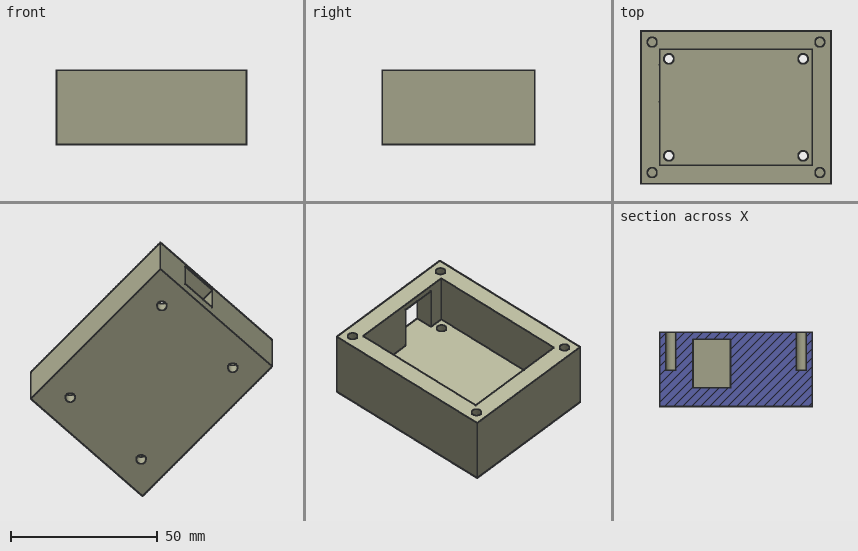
import cadquery as cq

length = 64.8
width = 52.1
height = 25.4

cavity_length = 51.95
cavity_width = 39.5
floor_thickness = 6.5

hole_diameter = 3.3
rim_spacing_x = 57.1
rim_spacing_y = 44.4
rim_hole_depth = 12.95
floor_spacing_x = 45.7
floor_spacing_y = 33.05

window_width = 12.7
window_height = 16.45
window_center_y = 8.2


def corner_holes(spacing_x, spacing_y, bottom, depth):
    """Four vertical cylinders on the corners of a centred rectangle."""
    return (
        cq.Workplane("XY")
        .workplane(offset=bottom)
        .rect(spacing_x, spacing_y, forConstruction=True)
        .vertices()
        .circle(hole_diameter / 2)
        .extrude(depth)
    )


block = cq.Workplane("XY").box(length, width, height, centered=(True, True, False))

cavity = (
    cq.Workplane("XY")
    .workplane(offset=floor_thickness)
    .rect(cavity_length, cavity_width)
    .extrude(height - floor_thickness)
)

window = (
    cq.Workplane("XY")
    .box(length / 2, window_width, window_height, centered=(False, True, False))
    .translate((-length / 2, window_center_y, floor_thickness))
)

rim_holes = corner_holes(rim_spacing_x, rim_spacing_y, height - rim_hole_depth, rim_hole_depth)
floor_holes = corner_holes(floor_spacing_x, floor_spacing_y, 0, floor_thickness)

result = block.cut(cavity).cut(window).cut(rim_holes).cut(floor_holes)